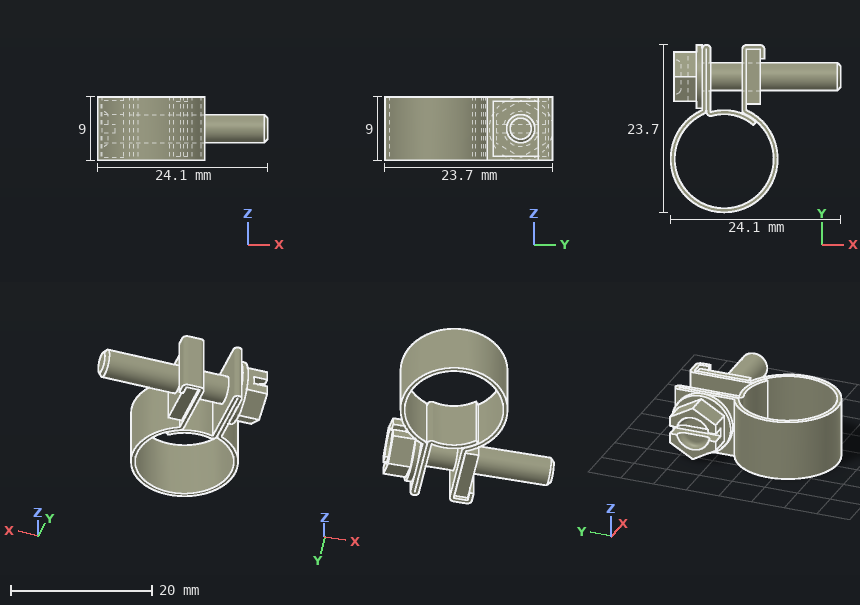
import cadquery as cq
import math


strip_thickness = 0.6
strip_width = 9.0
ring_outer_radius = 7.6
ring_inner_radius = ring_outer_radius - strip_thickness
leg_top = 16.15

leg_far_x = 3.13
leg_near_x = leg_far_x - strip_thickness
leg_base_y = math.sqrt(ring_outer_radius**2 - leg_far_x**2)

fold_gap = 0.02
tongue_gap = 0.07
tongue_end_angle = 49.0
tongue_outer_radius = ring_inner_radius - tongue_gap
tongue_inner_radius = tongue_outer_radius - strip_thickness

nut_side = 7.8
nut_thickness = 2.0
hook_end_y = 14.15
hook_inner_radius = 0.1
hook_outer_radius = strip_thickness + hook_inner_radius

bolt_axis_y = 11.65
shank_radius = 2.0
shank_end_x = 16.52
shank_chamfer = 0.5
flange_radius = strip_width / 2
flange_thickness = 0.8
hex_across_flats = 7.0
hex_sides = 6
hex_height = 3.2
slot_width = 1.2
slot_depth = 2.0
recess_radius = 2.5
recess_depth = 1.0
recess_fillet = 0.8


def polar(radius, angle):
    """Point at a radius and an angle in degrees about the ring axis."""
    return (radius * math.cos(math.radians(angle)), radius * math.sin(math.radians(angle)))


def point_angle(x, y):
    """Direction of a point from the ring axis, in degrees."""
    return math.degrees(math.atan2(y, x))


def bend_middle(corner, side, angle):
    """Middle of a bend about a corner, from the leg side (+1 or -1 in X) to the inward radius."""
    start = 0 if side > 0 else -180
    end = angle - 180
    dx, dy = polar(strip_thickness, (start + end) / 2)
    return (corner[0] + dx, corner[1] + dy)


def make_band():
    """Strip bent into a ring with a folded leg and tongue on one end and a hooked leg on the other."""
    left_corner = (-leg_far_x, leg_base_y)
    left_angle = point_angle(*left_corner)
    right_corner = (leg_far_x, leg_base_y)
    right_angle = point_angle(*right_corner)

    inner_layer_left = -leg_near_x + fold_gap
    inner_layer_right = inner_layer_left + strip_thickness
    fold_middle_x = -leg_near_x + fold_gap / 2
    fold_radius = strip_thickness + fold_gap / 2
    fold_y = leg_top - fold_radius

    tongue_corner_y = math.sqrt(tongue_outer_radius**2 - inner_layer_right**2)
    tongue_corner = (inner_layer_right, tongue_corner_y)
    tongue_angle = point_angle(*tongue_corner)
    tongue_middle_angle = (tongue_angle + tongue_end_angle) / 2

    hook_inner_x = leg_far_x + nut_thickness
    hook_outer_x = hook_inner_x + strip_thickness
    hook_inner_y = leg_top - strip_thickness

    outline = (
        cq.Workplane("XY", origin=(0, 0, -strip_width / 2))
        .moveTo(*left_corner)
        .lineTo(-leg_far_x, fold_y)
        .threePointArc((fold_middle_x, leg_top), (inner_layer_right, fold_y))
        .lineTo(*tongue_corner)
        .threePointArc(
            polar(tongue_outer_radius, tongue_middle_angle),
            polar(tongue_outer_radius, tongue_end_angle),
        )
        .lineTo(*polar(tongue_inner_radius, tongue_end_angle))
        .threePointArc(
            polar(tongue_inner_radius, tongue_middle_angle),
            polar(tongue_inner_radius, tongue_angle),
        )
        .threePointArc(
            bend_middle(tongue_corner, -1, tongue_angle),
            (inner_layer_left, tongue_corner_y),
        )
        .lineTo(inner_layer_left, fold_y)
        .threePointArc((fold_middle_x, fold_y + fold_gap / 2), (-leg_near_x, fold_y))
        .lineTo(-leg_near_x, leg_base_y)
        .threePointArc(bend_middle(left_corner, 1, left_angle), polar(ring_inner_radius, left_angle))
        .threePointArc((0, -ring_inner_radius), polar(ring_inner_radius, right_angle))
        .threePointArc(bend_middle(right_corner, -1, right_angle), (leg_near_x, leg_base_y))
        .lineTo(leg_near_x, leg_top - hook_outer_radius)
        .radiusArc((leg_near_x + hook_outer_radius, leg_top), hook_outer_radius)
        .lineTo(hook_outer_x - hook_outer_radius, leg_top)
        .radiusArc((hook_outer_x, leg_top - hook_outer_radius), hook_outer_radius)
        .lineTo(hook_outer_x, hook_end_y)
        .lineTo(hook_inner_x, hook_end_y)
        .lineTo(hook_inner_x, hook_inner_y - hook_inner_radius)
        .radiusArc((hook_inner_x - hook_inner_radius, hook_inner_y), -hook_inner_radius)
        .lineTo(leg_far_x + hook_inner_radius, hook_inner_y)
        .radiusArc((leg_far_x, hook_inner_y - hook_inner_radius), -hook_inner_radius)
        .lineTo(*right_corner)
        .threePointArc((0, -ring_outer_radius), left_corner)
        .close()
    )
    return outline.extrude(strip_width).cut(make_shank())


def bolt_plane(x):
    """Workplane square to the bolt axis, facing +X; local X is world Y and local Y is world Z."""
    return cq.Workplane("YZ", origin=(x, bolt_axis_y, 0))


def make_shank():
    """Plain shank from the flange face to the chamfered tip."""
    shank = bolt_plane(-leg_far_x).circle(shank_radius).extrude(shank_end_x + leg_far_x)
    return shank.faces(">X").chamfer(shank_chamfer)


def make_bolt():
    """Flanged hexagon bolt with a slot and a round recess in its head."""
    flange_x = -leg_far_x - flange_thickness
    head_x = flange_x - hex_height
    corner_diameter = hex_across_flats / math.cos(math.pi / hex_sides)

    flange = bolt_plane(flange_x).circle(flange_radius).extrude(flange_thickness)
    hexagon = (
        bolt_plane(head_x)
        .transformed(rotate=(0, 0, 90))
        .polygon(hex_sides, corner_diameter)
        .extrude(hex_height)
    )
    recess = bolt_plane(head_x).circle(recess_radius).extrude(recess_depth)
    recess = recess.faces(">X").edges().fillet(recess_fillet)
    slot = bolt_plane(head_x).rect(corner_diameter, slot_width).extrude(slot_depth)
    return hexagon.cut(recess).cut(slot).union(flange).union(make_shank())


def make_nut():
    """Square nut against the hooked leg, bored for the shank, its top edges rounded to seat in the hook."""
    nut_top_y = leg_top - strip_thickness
    nut = (
        cq.Workplane("YZ", origin=(leg_far_x, nut_top_y - nut_side / 2, 0))
        .rect(nut_side, nut_side)
        .extrude(nut_thickness)
    )
    nut = nut.faces(">Y").edges("|Z").fillet(hook_inner_radius)
    return nut.cut(make_shank())


band = make_band()
bolt = make_bolt()
nut = make_nut()

result = cq.Compound.makeCompound([band.val(), bolt.val(), nut.val()])